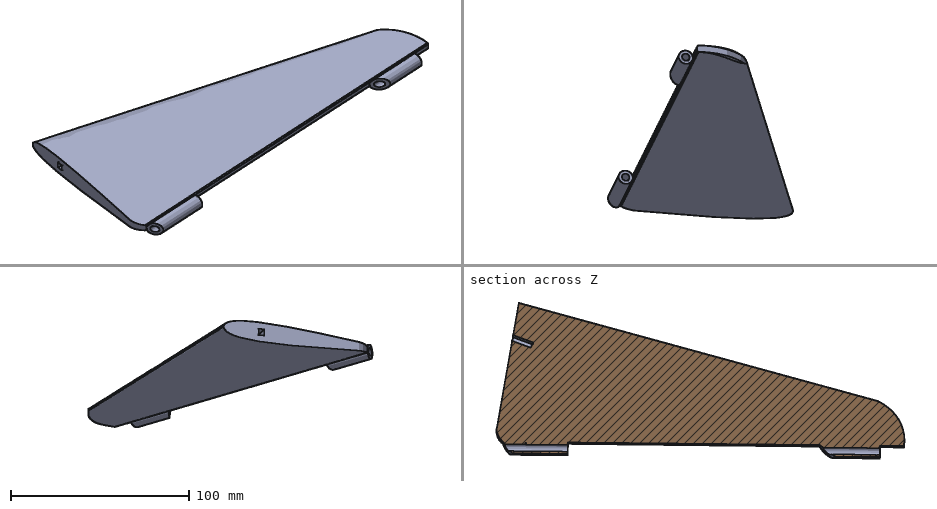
import cadquery as cq
import math

root_nose = (21.2, 0.0)
root_corner_start = (102.4, 24.0)
root_corner_mid = (109.7, 27.4)
root_corner_end = (113.3, 32.4)
tip_tail = (22.5, 238.0)
tip_curve_end = (0.0, 211.9)
tip_curve_rise = 5.2

root_half_height = 5.6
tip_half_height = 2.9
root_tail_half_height = 2.0
tip_tail_half_height = 2.1

tail_bevel = 0.7
tip_wall_half_height = 2.0
tip_cutter_reach = 2.4

crown_stations = [0.06, 0.18, 0.28, 0.45]
crown_shares = [0.72, 0.97, 1.0, 0.93]

barrel_radius = 4.0
barrel_bore_diameter = 4.3
barrel_offset = 3.93
barrel_stations = [(13.3, 38.5, 47.4), (188.3, 219.5, 225.0)]

hole_side = 3.5
hole_depth = 12.0
hole_center_x = 45.0


def direction(start, end):
    length = math.dist(start, end)
    return (end[0] - start[0]) / length, (end[1] - start[1]) / length


def intersection(point_a, dir_a, point_b, dir_b):
    """Point where two lines in the XY plane cross."""
    gap_x = point_b[0] - point_a[0]
    gap_y = point_b[1] - point_a[1]
    travel = (gap_x * dir_b[1] - gap_y * dir_b[0]) / (dir_a[0] * dir_b[1] - dir_a[1] * dir_b[0])
    return point_a[0] + travel * dir_a[0], point_a[1] + travel * dir_a[1]


root_dir = direction(root_nose, root_corner_start)
nose_dir = direction(root_nose, tip_curve_end)
tail_dir = direction(tip_tail, root_corner_end)
tail_normal = (-tail_dir[1], tail_dir[0])

root_tail = intersection(root_nose, root_dir, tip_tail, tail_dir)
tip_nose = intersection(tip_tail, root_dir, root_nose, nose_dir)

tip_dir = direction(tip_tail, tip_curve_end)
tip_normal = (tip_dir[1], -tip_dir[0])
tip_half_chord = math.dist(tip_tail, tip_curve_end) / 2
tip_radius = (tip_half_chord**2 + tip_curve_rise**2) / (2 * tip_curve_rise)
tip_chord_mid = [(tail + end) / 2 for tail, end in zip(tip_tail, tip_curve_end)]
tip_curve_mid = tuple(place + tip_curve_rise * step for place, step in zip(tip_chord_mid, tip_normal))
tip_center = tuple(place - tip_radius * step for place, step in zip(tip_curve_mid, tip_normal))


def section(nose, tail, half_height, tail_half_height):
    """Symmetric airfoil wire with a rounded nose and a beveled, blunt tail."""
    chord = math.dist(nose, tail)
    plane = cq.Plane(origin=(*nose, 0), xDir=(*root_dir, 0), normal=(root_dir[1], -root_dir[0], 0))
    bevel_x = chord - tail_bevel
    bevel_height = tail_half_height - tail_bevel
    stations = crown_stations + [bevel_x / chord]
    heights = [half_height * share for share in crown_shares] + [tail_half_height]
    upper = [(chord * station, height) for station, height in zip(stations, heights)]
    lower = [(x, -z) for x, z in reversed(upper)]
    parameters = [0.0] + [math.sqrt(station) for station in crown_stations] + [1.0]
    lower_parameters = [1.0 - value for value in reversed(parameters)]
    outline = (
        cq.Workplane(plane)
        .spline([(0, 0)] + upper, parameters=parameters)
        .lineTo(chord, bevel_height)
        .lineTo(chord, -bevel_height)
        .lineTo(*lower[0])
        .spline(lower[1:] + [(0, 0)], parameters=lower_parameters, includeCurrent=True)
    )
    return outline.wire().val()


def make_wing():
    sections = [
        section(root_nose, root_tail, root_half_height, root_tail_half_height),
        section(tip_nose, tip_tail, tip_half_height, tip_tail_half_height),
    ]
    blade = cq.Workplane(cq.Solid.makeLoft(sections, True))
    planform = (
        cq.Workplane("XY", origin=(0, 0, -2 * root_half_height))
        .moveTo(*root_nose)
        .lineTo(*root_corner_start)
        .threePointArc(root_corner_mid, root_corner_end)
        .lineTo(*tip_tail)
        .threePointArc(tip_curve_mid, tip_curve_end)
        .close()
        .extrude(4 * root_half_height)
    )
    for side in (1, -1):
        planform = planform.cut(make_tip_bevel(side))
    return blade.intersect(planform)


def make_tip_bevel(side):
    """Conical ring sector that bevels the upper (side 1) or lower (side -1) rim of the rounded tip."""
    start_angle = math.atan2(tip_tail[1] - tip_center[1], tip_tail[0] - tip_center[0])
    end_angle = math.atan2(tip_curve_end[1] - tip_center[1], tip_curve_end[0] - tip_center[0])
    radial = (math.cos(start_angle), math.sin(start_angle), 0)
    plane = cq.Plane(origin=(*tip_center, 0), xDir=radial, normal=(radial[1], -radial[0], 0))
    low = tip_wall_half_height - tip_cutter_reach
    high = tip_wall_half_height + tip_cutter_reach
    outer = tip_radius + tip_cutter_reach
    inner = tip_radius - tip_cutter_reach
    return (
        cq.Workplane(plane)
        .polyline([(outer, side * low), (inner, side * high), (outer, side * high)])
        .close()
        .revolve(math.degrees(end_angle - start_angle), (0, 0), (0, 1))
    )


def make_barrel(start, outer_end, inner_end):
    """Bored round hinge barrel with a square upper end and a slanted lower end."""
    tail_plane = cq.Plane(origin=(*tip_tail, 0), xDir=(*tail_dir, 0), normal=(0, 0, 1))
    axis_plane = cq.Plane(origin=(*tip_tail, 0), xDir=(*tail_normal, 0), normal=(*tail_dir, 0))
    rod = (
        cq.Workplane(axis_plane)
        .workplane(offset=start)
        .center(barrel_offset, 0)
        .circle(barrel_radius)
        .circle(barrel_bore_diameter / 2)
        .extrude(inner_end - start)
    )
    inner_side = barrel_offset - barrel_radius
    outer_side = barrel_offset + barrel_radius
    trim = (
        cq.Workplane(tail_plane)
        .polyline([(start, inner_side), (inner_end, inner_side), (outer_end, outer_side), (start, outer_side)])
        .close()
        .extrude(barrel_radius, both=True)
    )
    return rod.intersect(trim)


def make_square_hole():
    hole_y = root_nose[1] + (hole_center_x - root_nose[0]) * root_dir[1] / root_dir[0]
    return (
        cq.Workplane("XZ", origin=(hole_center_x, hole_y + hole_depth, 0))
        .rect(hole_side, hole_side)
        .extrude(2 * hole_depth)
    )


result = make_wing()
for barrel_station in barrel_stations:
    result = result.union(make_barrel(*barrel_station))
result = result.cut(make_square_hole())